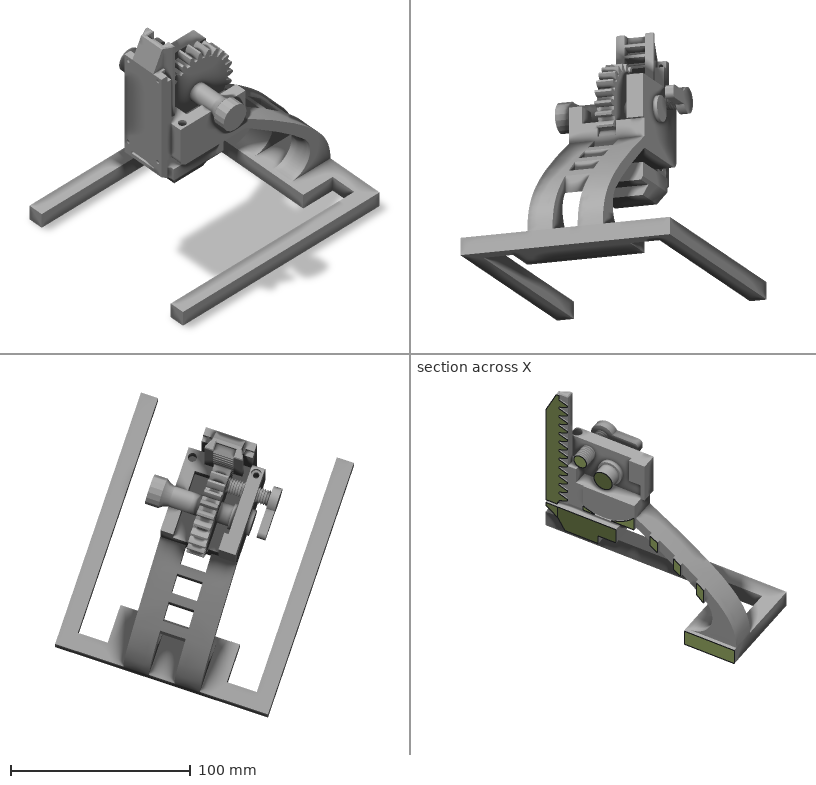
import cadquery as cq
import math

base_width = 125.0
base_length = 150.0
base_thickness = 10.0
base_bar = 10.0
base_back = base_length / 2
tab_width = 70.0
tab_length = 32.5

stand_width = 45.0
half_stand = stand_width / 2
block_back = 10.2
block_front = -39.4
block_bottom = 70.0
corner_radius = 5.0
arch_heel_radius = 15.0
arch_heel_y = 44.5
arch_window_width = 15.0
arch_window_length = 10.0
arch_window_fronts = [10.2, 25.4, 40.2]
rear_window_front = 55.2
rack_gap_back = -23.0
bearing_wall = 7.5
half_cavity = half_stand - bearing_wall
cavity_front = -27.7
cavity_depth = 10.0
bolt_y = -34.5
bolt_x = half_stand - bearing_wall / 2
insert_diameter = 5.0
insert_depth = 10.0

shaft_y = -10.0
shaft_z = 97.5
shaft_diameter = 12.0
gear_module = 2.0
gear_teeth = 25
pressure_angle = math.radians(20)
gear_width = 10.0
gear_turn = -1.2
backlash = 0.1
pitch_radius = gear_module * gear_teeth / 2
tip_radius = pitch_radius + gear_module
root_radius = pitch_radius - 1.25 * gear_module
gear_clearance = 0.25
well_side_gap = 0.5
well_width = gear_width + 2 * well_side_gap
collar_diameter = 15.0
collar_width = 2.5
knob_diameter = 17.5
knob_sides = 16
knob_start = 27.8
knob_end = 35.5
flare_hollow = 0.4

cap_height = 15.0
cap_top = shaft_z + cap_height
hook_thickness = 2.5
hook_width = 10.0
hook_drop = 10.0
cap_back = block_back + hook_thickness
cap_bolt_diameter = 3.5
cap_counterbore_diameter = 6.0
cap_counterbore_depth = 5.0

screw_y = -24.8
screw_z = cap_top - cap_height / 2
screw_diameter = 9.0
thread_depth = 0.8
thread_turns = 17
screw_head_back = -30.0
screw_head_thickness = 5.0
screw_head_diameter = 15.0
lever_width = 7.5
lever_end_y = -1.9
lever_corner = 2.5
screw_tip = -gear_width / 2

rack_bottom = 68.62
rack_length = 80.0
rack_top = rack_bottom + rack_length
rack_width = 12.0
rack_pitch_y = shaft_y - pitch_radius
rack_tip_y = rack_pitch_y + gear_module
rack_root_depth = 3.3
rack_root_y = rack_pitch_y - rack_root_depth
rail_half_width = 11.1
rail_land = 1.7
neck_half_width = 8.5
rail_chamfer = 0.6
plate_width = 30.0
plate_thickness = 7.6
plate_front = block_front - plate_thickness
plate_bottom = 62.7
plate_top = 134.0
wedge_top_depth = 0.9
wedge_top = rack_top - 0.6
screw_inset = 3.0
plate_hole_pitch = 59.0
plate_hole_diameter = 2.4
notch_width = 5.0
notch_depth = 3.0
top_notch_bottom = 129.8
bottom_notch_top = 72.5
slot_width = 18.5
slot_height = 1.7

tray_top = 65.3
tray_bottom = 57.2
tray_width = 34.0
tray_back = -1.4
chin_bottom = 49.6
chin_side_inset = 4.5
chin_front_inset = 4.6
chin_back = -13.0
chin_shelf_z = 55.2


def box(x0, x1, y0, y1, z0, z1):
    """Box between two opposite corners."""
    return cq.Workplane("XY").box(x1 - x0, y1 - y0, z1 - z0, centered=False).translate((x0, y0, z0))


def rod(diameter, x0, x1, y, z):
    """Cylinder along X between two X positions."""
    return cq.Workplane("YZ", origin=(x0, y, z)).circle(diameter / 2).extrude(x1 - x0)


def upright(diameter, x, y, z0, z1):
    """Cylinder along Z between two heights."""
    return cq.Workplane("XY", origin=(x, y, z0)).circle(diameter / 2).extrude(z1 - z0)


def dovetail(z0, z1):
    """Both dovetail rails with the neck between them, open to the front."""
    flank_start = rack_tip_y - rail_land
    outline = [
        (-rail_half_width, rack_tip_y),
        (rail_half_width, rack_tip_y),
        (rail_half_width, flank_start),
        (neck_half_width, block_front),
        (-neck_half_width, block_front),
        (-rail_half_width, flank_start),
    ]
    return cq.Workplane("XY", origin=(0, 0, z0)).polyline(outline).close().extrude(z1 - z0)


def make_base():
    half = base_width / 2
    bar = box(-half, half, base_back - base_bar, base_back, 0, base_thickness)
    tab = box(-tab_width / 2, tab_width / 2, base_back - tab_length, base_back, 0, base_thickness)
    base = bar.union(tab)
    for x in (-half, half - base_bar):
        base = base.union(box(x, x + base_bar, -base_back, base_back, 0, base_thickness))
    return base


def make_arch():
    """Swept neck rising from the back of the base to the block, with open windows."""
    heel_z = base_thickness + arch_heel_radius
    heel_angle = math.radians(45)
    heel_top = (
        arch_heel_y + arch_heel_radius * math.cos(heel_angle),
        heel_z + arch_heel_radius * math.sin(heel_angle),
    )
    block_joint_top = (block_back, 76.9)
    block_joint_bottom = (8.5, block_bottom)
    profile = (
        cq.Workplane("YZ", origin=(-half_stand, 0, 0))
        .moveTo(base_back, base_thickness)
        .spline(
            [(72.6, 23.4), (60.9, 40.0), (34.6, 61.1), block_joint_top],
            tangents=[(0, 1), (-1, 0.63)],
            includeCurrent=True,
        )
        .lineTo(block_joint_bottom[0], block_joint_top[1])
        .lineTo(*block_joint_bottom)
        .spline(
            [(13.0, 68.2), (26.6, 58.7), (42.5, 46.9), heel_top],
            tangents=[(1, 0), (1, -1)],
            includeCurrent=True,
        )
        .threePointArc((arch_heel_y + arch_heel_radius, heel_z), (arch_heel_y, base_thickness))
        .close()
    )
    arch = profile.extrude(stand_width)
    half_window = arch_window_width / 2
    windows = [(y, y + arch_window_length) for y in arch_window_fronts]
    windows.append((rear_window_front, base_back))
    for front, back in windows:
        arch = arch.cut(box(-half_window, half_window, front, back, base_thickness, shaft_z))
    return arch.cut(box(-half_window, half_window, arch_heel_y, base_back, base_thickness, heel_z))


def make_block():
    """Lower bearing block with the gear well, the dovetail groove and the insert holes."""
    block = box(-half_stand, half_stand, block_front, block_back, block_bottom, shaft_z)
    block = block.edges("|X and <Y and <Z").fillet(corner_radius)
    cavity = box(-half_cavity, half_cavity, cavity_front, block_back, shaft_z - cavity_depth, shaft_z)
    well = rod(2 * (tip_radius + gear_clearance), -well_width / 2, well_width / 2, shaft_y, shaft_z)
    rack_gap = box(-rack_width / 2, rack_width / 2, rack_tip_y, rack_gap_back, block_bottom, shaft_z)
    bore = rod(shaft_diameter, -half_stand, half_stand, shaft_y, shaft_z)
    block = block.cut(cavity).cut(well).cut(rack_gap).cut(bore).cut(dovetail(block_bottom, shaft_z))
    for x in (-bolt_x, bolt_x):
        block = block.cut(upright(insert_diameter, x, bolt_y, shaft_z - insert_depth, shaft_z))
    return block


stand = make_base().union(make_arch()).union(make_block())


def make_cap():
    """Upper bearing half over one wall, hooked over the back of the block."""
    hook_inner = -half_stand + hook_width
    body = box(-half_stand, -half_cavity, block_front, cap_back, shaft_z, cap_top)
    body = body.edges("|X and <Y and >Z").fillet(corner_radius)
    thick_end = box(-half_stand, hook_inner, cap_back - hook_width, cap_back, shaft_z, cap_top)
    hook = box(-half_stand, hook_inner, block_back, cap_back, shaft_z - hook_drop, cap_top)
    body = body.union(thick_end).union(hook)
    body = body.cut(rod(shaft_diameter, -half_stand, -half_cavity, shaft_y, shaft_z))
    body = body.cut(rod(screw_diameter, -half_stand, -half_cavity, screw_y, screw_z))
    body = body.cut(upright(cap_bolt_diameter, -bolt_x, bolt_y, shaft_z, cap_top))
    counterbore_floor = cap_top - cap_counterbore_depth
    return body.cut(upright(cap_counterbore_diameter, -bolt_x, bolt_y, counterbore_floor, cap_top))


cap = make_cap()


def involute(angle):
    return math.tan(angle) - angle


def gear_tooth_half_angle(radius):
    """Half the angle a tooth fills at a radius on its involute flank."""
    base_radius = pitch_radius * math.cos(pressure_angle)
    flank_angle = math.acos(min(1.0, base_radius / radius))
    at_pitch = math.pi / (2 * gear_teeth) - backlash / (2 * pitch_radius)
    return at_pitch + involute(pressure_angle) - involute(flank_angle)


def make_gear():
    """Spur gear whose flanks are arcs through three points of the involute."""
    base_radius = pitch_radius * math.cos(pressure_angle)
    tooth_pitch = 2 * math.pi / gear_teeth

    def flank_point(centre, side, radius):
        angle = centre + side * gear_tooth_half_angle(radius)
        return (radius * math.cos(angle), radius * math.sin(angle))

    first_centre = math.radians(gear_turn)
    outline = cq.Workplane("YZ", origin=(-gear_width / 2, shaft_y, shaft_z))
    outline = outline.moveTo(*flank_point(first_centre, -1, root_radius))
    for tooth in range(gear_teeth):
        centre = first_centre + tooth * tooth_pitch
        outline = (
            outline.lineTo(*flank_point(centre, -1, base_radius))
            .threePointArc(flank_point(centre, -1, pitch_radius), flank_point(centre, -1, tip_radius))
            .lineTo(*flank_point(centre, 1, tip_radius))
            .threePointArc(flank_point(centre, 1, pitch_radius), flank_point(centre, 1, base_radius))
            .lineTo(*flank_point(centre, 1, root_radius))
        )
        if tooth < gear_teeth - 1:
            outline = outline.lineTo(*flank_point(centre + tooth_pitch, -1, root_radius))
    return outline.close().extrude(gear_width)


def make_knob():
    """Concave flare from the shaft to a faceted grip."""
    shaft_radius = shaft_diameter / 2
    knob_radius = knob_diameter / 2
    flare_middle = (
        (half_stand + knob_start) / 2 + flare_hollow,
        (shaft_radius + knob_radius) / 2 - flare_hollow,
    )
    flare = (
        cq.Workplane("XY")
        .moveTo(half_stand, 0)
        .lineTo(half_stand, shaft_radius)
        .threePointArc(flare_middle, (knob_start, knob_radius))
        .lineTo(knob_start, 0)
        .close()
        .revolve(360, (0, 0, 0), (1, 0, 0))
        .translate((0, shaft_y, shaft_z))
    )
    grip = (
        cq.Workplane("YZ", origin=(knob_start, shaft_y, shaft_z))
        .polygon(knob_sides, knob_diameter)
        .extrude(knob_end - knob_start)
    )
    return flare.union(grip)


def make_pinion():
    pinion = rod(shaft_diameter, -half_stand - collar_width, half_stand, shaft_y, shaft_z)
    for x in (-half_stand - collar_width, -half_cavity):
        pinion = pinion.union(rod(collar_diameter, x, x + collar_width, shaft_y, shaft_z))
    return pinion.union(make_gear()).union(make_knob())


pinion = make_pinion()


def make_thumb_screw():
    crest = screw_diameter / 2
    root = crest - thread_depth
    pitch = (screw_tip - screw_head_back) / thread_turns
    profile = [(screw_head_back, 0), (screw_head_back, root)]
    for turn in range(thread_turns):
        start = screw_head_back + turn * pitch
        profile += [
            (start + pitch / 4, root),
            (start + pitch / 2, crest),
            (start + 3 * pitch / 4, crest),
            (start + pitch, root),
        ]
    profile.append((screw_tip, 0))
    thread = cq.Workplane("XY").polyline(profile).close().revolve(360, (0, 0, 0), (1, 0, 0))
    thread = thread.translate((0, screw_y, screw_z))
    head_front = screw_head_back - screw_head_thickness
    head = rod(screw_head_diameter, head_front, screw_head_back, screw_y, screw_z)
    half_lever = lever_width / 2
    lever = box(
        head_front, screw_head_back, screw_y, lever_end_y, screw_z - half_lever, screw_z + half_lever
    )
    lever = lever.edges("|X and >Y").fillet(lever_corner)
    return thread.union(head).union(lever)


thumb_screw = make_thumb_screw()


def make_rack_teeth():
    """Straight-sided teeth between the rails, meshing with the gear."""
    pitch = math.pi * gear_module
    mesh_z = shaft_z - math.radians(gear_turn) * pitch_radius
    half_at_pitch = pitch / 4 - backlash / 2
    half_at_tip = half_at_pitch - gear_module * math.tan(pressure_angle)
    half_at_root = half_at_pitch + rack_root_depth * math.tan(pressure_angle)
    first = math.ceil((rack_bottom + half_at_root - mesh_z) / pitch)
    last = math.floor((rack_top - half_at_root - mesh_z) / pitch)
    teeth = None
    for number in range(first, last + 1):
        z = mesh_z + number * pitch
        outline = [
            (block_front, z - half_at_root),
            (rack_root_y, z - half_at_root),
            (rack_tip_y, z - half_at_tip),
            (rack_tip_y, z + half_at_tip),
            (rack_root_y, z + half_at_root),
            (block_front, z + half_at_root),
        ]
        plane = cq.Workplane("YZ", origin=(-rack_width / 2, 0, 0))
        tooth = plane.polyline(outline).close().extrude(rack_width)
        teeth = tooth if teeth is None else teeth.union(tooth)
    return teeth


def make_rack():
    """Two chamfered dovetail rails with the toothed strip recessed between them."""
    half_rack = rack_width / 2
    channel = box(-half_rack, half_rack, block_front, rack_tip_y, rack_bottom, rack_top)
    rails = dovetail(rack_bottom, rack_top).cut(channel).faces("<Z or >Z").chamfer(rail_chamfer)
    strip = box(-half_rack, half_rack, block_front, rack_root_y, rack_bottom, wedge_top)
    return rails.union(strip).union(make_rack_teeth())


def make_plate():
    half_plate = plate_width / 2
    outline = [
        (block_front, plate_top),
        (plate_front, plate_top),
        (plate_front, plate_bottom),
        (block_front, tray_bottom),
    ]
    plate = cq.Workplane("YZ", origin=(-half_plate, 0, 0)).polyline(outline).close().extrude(plate_width)
    hole_z = [plate_top - screw_inset, plate_top - screw_inset - plate_hole_pitch]
    for side in (-1, 1):
        edge = side * half_plate
        inner = edge - side * notch_width
        x0, x1 = min(edge, inner), max(edge, inner)
        notch_front = block_front - notch_depth
        plate = plate.cut(box(x0, x1, notch_front, block_front, top_notch_bottom, plate_top))
        plate = plate.cut(box(x0, x1, notch_front, block_front, tray_bottom, bottom_notch_top))
        for z in hole_z:
            hole = (
                cq.Workplane("XZ", origin=(edge - side * screw_inset, block_front, z))
                .circle(plate_hole_diameter / 2)
                .extrude(plate_thickness)
            )
            plate = plate.cut(hole)
    slot = box(
        -slot_width / 2, slot_width / 2, plate_front, block_front, tray_top, tray_top + slot_height
    )
    return plate.cut(slot)


def make_wedge():
    """Sloping top end that carries the rack above the plate."""
    outline = [
        (block_front, wedge_top),
        (block_front - wedge_top_depth, wedge_top),
        (plate_front, plate_top),
        (block_front, plate_top),
    ]
    plane = cq.Workplane("YZ", origin=(-neck_half_width, 0, 0))
    return plane.polyline(outline).close().extrude(2 * neck_half_width)


slide = make_rack().union(make_plate()).union(make_wedge())


def make_tray_tongue(side):
    """Tongue with a 45 degree outer face that sits in the lower notch of the plate."""
    tongue_half_width = plate_width / 2
    notch_inner = tongue_half_width - notch_width
    outline = [
        (side * notch_inner, block_front),
        (side * tongue_half_width, block_front),
        (side * (tongue_half_width - notch_depth), block_front - notch_depth),
        (side * notch_inner, block_front - notch_depth),
    ]
    plane = cq.Workplane("XY", origin=(0, 0, tray_bottom))
    tongue = plane.polyline(outline).close().extrude(tray_top - tray_bottom)
    below_plate = (
        cq.Workplane("YZ", origin=(-tray_width / 2, 0, 0))
        .polyline([(block_front, tray_bottom), (plate_front, plate_bottom), (plate_front, tray_bottom)])
        .close()
        .extrude(tray_width)
    )
    return tongue.cut(below_plate)


def make_tray():
    """Flat tray with a tapered chin below it and a tongue at each front corner."""
    half = tray_width / 2
    tray = box(-half, half, block_front, tray_back, tray_bottom, tray_top)
    chin_half = half - chin_side_inset
    chin_front = block_front + chin_front_inset
    upper = [(-half, block_front), (half, block_front), (half, tray_back), (-half, tray_back)]
    lower = [
        (-chin_half, chin_front), (chin_half, chin_front), (chin_half, tray_back), (-chin_half, tray_back)
    ]
    chin = (
        cq.Workplane("XY", origin=(0, 0, tray_bottom))
        .polyline(upper).close()
        .workplane(offset=chin_bottom - tray_bottom)
        .polyline(lower).close()
        .loft(ruled=True)
    )
    shelf = box(-half, half, chin_back, tray_back, chin_bottom, chin_shelf_z)
    tray = tray.union(chin.cut(shelf))
    for side in (-1, 1):
        tray = tray.union(make_tray_tongue(side))
    return tray


tray = make_tray()

bodies = [stand, cap, pinion, thumb_screw, slide, tray]
result = cq.Compound.makeCompound([body.solids().val() for body in bodies])